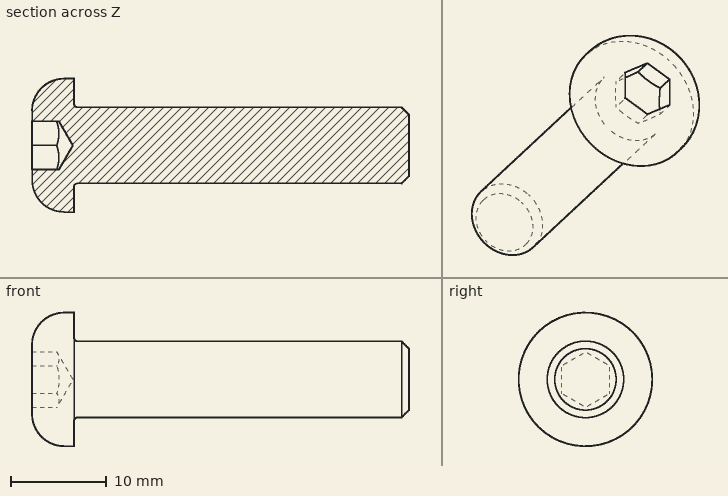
import cadquery as cq
import math

total_length = 39.4
head_diameter = 14.0
head_height = 4.4
rim_width = 1.02
face_diameter = 7.33
shank_diameter = 8.0
neck_fillet = 0.35
tip_chamfer = 0.8

socket_across_flats = 5.0
socket_depth = 2.6
socket_cone_angle = 120.0

head_radius = head_diameter / 2
face_radius = face_diameter / 2
shank_radius = shank_diameter / 2
dome_height = head_height - rim_width


def dome_midpoint():
    """Middle of the dome arc, which meets the cylindrical rim tangentially."""
    radial_drop = head_radius - face_radius
    arc_radius = (dome_height**2 + radial_drop**2) / (2 * radial_drop)
    center_radius = head_radius - arc_radius
    half_sweep = math.acos(1 - radial_drop / arc_radius) / 2
    x = dome_height - arc_radius * math.sin(half_sweep)
    return x, center_radius + arc_radius * math.cos(half_sweep)


def make_body():
    """Head and shank as one profile revolved about the X axis."""
    fillet_offset = neck_fillet * (1 - math.sqrt(0.5))
    profile = (
        cq.Workplane("XY")
        .lineTo(0, face_radius)
        .threePointArc(dome_midpoint(), (dome_height, head_radius))
        .lineTo(head_height, head_radius)
        .lineTo(head_height, shank_radius + neck_fillet)
        .threePointArc(
            (head_height + fillet_offset, shank_radius + fillet_offset),
            (head_height + neck_fillet, shank_radius),
        )
        .lineTo(total_length - tip_chamfer, shank_radius)
        .lineTo(total_length, shank_radius - tip_chamfer)
        .lineTo(total_length, 0)
        .close()
    )
    return profile.revolve(360, (0, 0, 0), (1, 0, 0))


def make_socket():
    """Hexagonal prism with corners on +Z and -Z, trimmed to a conical bottom."""
    corner_radius = socket_across_flats / math.sqrt(3)
    cone_depth = corner_radius / math.tan(math.radians(socket_cone_angle / 2))
    tip_depth = socket_depth + cone_depth
    prism = (
        cq.Workplane("YZ")
        .polygon(6, 2 * corner_radius)
        .extrude(tip_depth)
        .rotate((0, 0, 0), (1, 0, 0), 30)
    )
    pointed_cylinder = (
        cq.Workplane("XY")
        .lineTo(0, corner_radius)
        .lineTo(socket_depth, corner_radius)
        .lineTo(tip_depth, 0)
        .close()
        .revolve(360, (0, 0, 0), (1, 0, 0))
    )
    return prism.intersect(pointed_cylinder)


result = make_body().cut(make_socket())